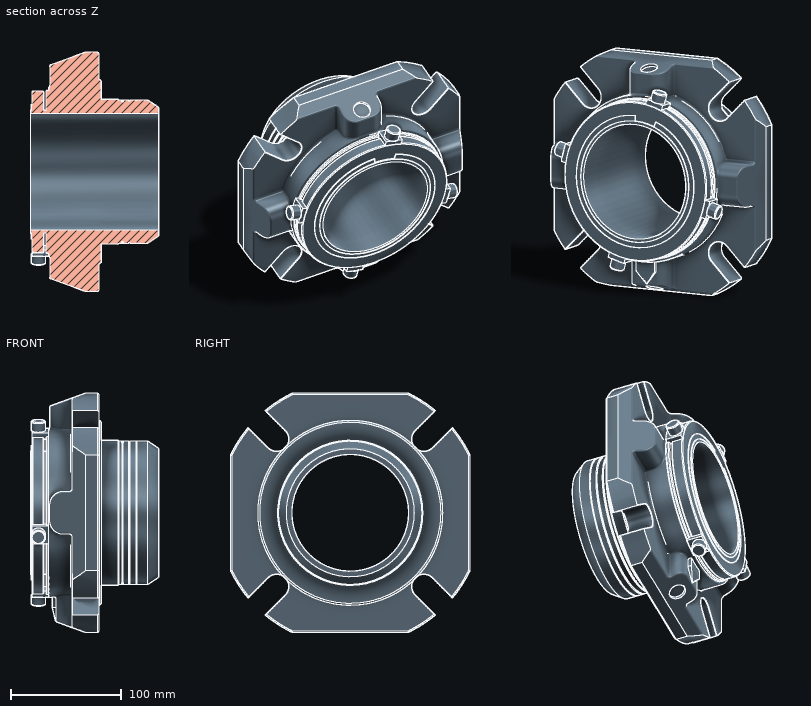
import cadquery as cq
import math

total_length = 115.9
snap_ring_front = 0.6
collar_front = 1.3
collar_back = 12.0
gland_front = 13.8
hub_front = 16.5
flange_front = 37.6
slope_end = 49.7
flange_back = 61.8
rear_disc_back = 64.0
barrel_step = 79.8
nose_start = 105.7

bore_dia = 105.0
sleeve_dia = 111.0
snap_ring_dia = 121.0
collar_dia = 146.1
gland_lip_dia = 147.6
hub_dia = 153.0
rear_disc_dia = 166.9
barrel_dia = 131.0
barrel_rear_dia = 129.7
nose_dia = 117.5

collar_chamfer = 0.9
hub_edge_radius = 0.6
hub_foot_radius = 1.7
rear_disc_chamfer = 1.7
barrel_step_chamfer = 1.0
nose_edge = 1.0

seal_groove = (82.4, 1.0, 126.5)
mark_groove = (95.3, 0.6, 128.8)
v_groove_middle = 89.0
v_groove_width = 1.3
v_groove_depth = 1.0

snap_ring_opening = 20.5

flange_side = 216.2
flange_corner_dia = 240.0
slope_angle = 20.0
flange_back_chamfer = 1.3
slope_edge_radius = 1.7
slot_width = 21.6
slot_center_radius = 93.8
slot_edge_chamfer = 0.5

boss_half_width = 19.2
boss_front = 17.3
boss_corner_radius = 12.0
marked_boss_front = 23.0
marked_boss_corner_radius = 9.3
boss_foot_radius = 2.8
boss_root = 64.8
boss_root_radius = 1.7
port_dia = 15.3
port_depth = 2.8
upper_port_x = 27.0
lower_port_x = 37.2

arrow_front = 19.5
arrow_half_width = 9.5
arrow_shoulder = 85.5
arrow_tip = 97.7
arrow_tip_front = 22.5

clip_angle = 15.0
clip_front = 1.5
clip_width = 16.9
clip_outer_dia = 154.3
screw_dia = 13.0
screw_x = 7.1
screw_head_radius = 85.8
screw_edge_chamfer = 0.9
clip_embed = 2.2
screw_embed = 0.5

slope_tangent = math.tan(math.radians(slope_angle))
quarter_turns = (0, 90, 180, 270)


def slope_height(x):
    """Distance from the axis to the sloped flange side at station x."""
    return flange_side / 2 - (slope_end - x) * slope_tangent


def turned(x_start, x_end, diameter):
    """Cylinder about the X axis."""
    return cq.Workplane("YZ", origin=(x_start, 0, 0)).circle(diameter / 2).extrude(x_end - x_start)


def about_axis(solid, angle):
    """Turn a solid about X; a positive angle moves +Z toward -Y."""
    return solid.rotate((0, 0, 0), (1, 0, 0), angle)


def revolve_profile(profile):
    return profile.close().revolve(360, (0, 0, 0), (1, 0, 0))


def front_body():
    """Sleeve, collar, gland lip and hub, carried into the flange."""
    hub_radius = hub_dia / 2
    foot_bulge = hub_foot_radius * (1 - math.sqrt(0.5))
    edge_bulge = hub_edge_radius * (1 - math.sqrt(0.5))
    profile = (
        cq.Workplane("XY")
        .moveTo(0, 0)
        .lineTo(0, sleeve_dia / 2)
        .lineTo(collar_front, sleeve_dia / 2)
        .lineTo(collar_front, collar_dia / 2 - collar_chamfer)
        .lineTo(collar_front + collar_chamfer, collar_dia / 2)
        .lineTo(collar_back - collar_chamfer, collar_dia / 2)
        .lineTo(collar_back, collar_dia / 2 - collar_chamfer)
        .lineTo(collar_back, sleeve_dia / 2)
        .lineTo(gland_front, sleeve_dia / 2)
        .lineTo(gland_front, gland_lip_dia / 2 - collar_chamfer)
        .lineTo(gland_front + collar_chamfer, gland_lip_dia / 2)
        .lineTo(hub_front, gland_lip_dia / 2)
        .lineTo(hub_front, hub_radius - hub_edge_radius)
        .threePointArc(
            (hub_front + edge_bulge, hub_radius - edge_bulge),
            (hub_front + hub_edge_radius, hub_radius),
        )
        .lineTo(flange_front - hub_foot_radius, hub_radius)
        .threePointArc(
            (flange_front - foot_bulge, hub_radius + foot_bulge),
            (flange_front, hub_radius + hub_foot_radius),
        )
        .lineTo(slope_end, hub_radius + hub_foot_radius)
        .lineTo(slope_end, 0)
    )
    return revolve_profile(profile)


def rear_body():
    """Locating disc and grooved barrel behind the flange."""
    profile = (
        cq.Workplane("XY")
        .moveTo(slope_end, 0)
        .lineTo(slope_end, barrel_dia / 2)
        .lineTo(flange_back, barrel_dia / 2)
        .lineTo(flange_back, rear_disc_dia / 2)
        .lineTo(rear_disc_back - rear_disc_chamfer, rear_disc_dia / 2)
        .lineTo(rear_disc_back, rear_disc_dia / 2 - rear_disc_chamfer)
        .lineTo(rear_disc_back, barrel_dia / 2)
        .lineTo(barrel_step - barrel_step_chamfer, barrel_dia / 2)
        .lineTo(barrel_step, barrel_rear_dia / 2)
        .lineTo(nose_start, barrel_rear_dia / 2)
        .lineTo(total_length - nose_edge, nose_dia / 2)
        .lineTo(total_length, nose_dia / 2 - nose_edge)
        .lineTo(total_length, 0)
    )
    body = revolve_profile(profile)
    for start, width, bottom_dia in (seal_groove, mark_groove):
        ring = turned(start, start + width, barrel_dia).cut(turned(start, start + width, bottom_dia))
        body = body.cut(ring)
    v_groove = (
        cq.Workplane("XY")
        .moveTo(v_groove_middle - v_groove_width / 2, barrel_rear_dia / 2)
        .lineTo(v_groove_middle, barrel_rear_dia / 2 - v_groove_depth)
        .lineTo(v_groove_middle + v_groove_width / 2, barrel_rear_dia / 2)
    )
    return body.cut(revolve_profile(v_groove))


def snap_ring():
    """Split ring lying on the front face of the collar."""
    ring = turned(snap_ring_front, collar_front, snap_ring_dia)
    end_angle = math.radians(snap_ring_opening)
    reach = snap_ring_dia
    opening = (
        cq.Workplane("YZ", origin=(snap_ring_front, 0, 0))
        .polyline([(0, 0), (0, reach), (-reach * math.sin(end_angle), reach * math.cos(end_angle))])
        .close()
        .extrude(collar_front - snap_ring_front)
    )
    return ring.cut(opening)


def slope_envelope():
    """Square block whose four sides lean inward ahead of slope_end."""
    straight = (
        cq.Workplane("YZ", origin=(slope_end, 0, 0))
        .rect(flange_side, flange_side)
        .extrude(flange_back - slope_end)
    )
    sloped = (
        cq.Workplane("YZ", origin=(slope_end, 0, 0))
        .rect(flange_side, flange_side)
        .extrude(-slope_end, taper=slope_angle)
    )
    return straight.union(sloped)


def flange_plate():
    """Round plate, later trimmed to the square envelope."""
    return turned(flange_front, flange_back, flange_corner_dia)


def boss(front, corner_radius):
    """Boss along +Z with rounded front corners and a filleted foot on the flange."""
    foot_start = flange_front - boss_foot_radius
    outer = boss_half_width + boss_foot_radius
    flat = boss_half_width - corner_radius
    corner_inset = corner_radius * (1 - math.sqrt(0.5))
    foot_inset = boss_foot_radius * (1 - math.sqrt(0.5))
    half = (
        cq.Workplane("XY", origin=(0, 0, boss_root))
        .moveTo(slope_end, 0)
        .lineTo(slope_end, outer)
        .lineTo(flange_front, outer)
        .threePointArc(
            (flange_front - foot_inset, boss_half_width + foot_inset),
            (foot_start, boss_half_width),
        )
        .lineTo(front + corner_radius, boss_half_width)
        .threePointArc(
            (front + corner_inset, boss_half_width - corner_inset),
            (front, flat),
        )
        .lineTo(front, 0)
        .close()
        .extrude(flange_side / 2 - boss_root)
    )
    return half.union(half.mirror("XZ"))


def bosses():
    """Marked boss at the bottom and plain bosses on the other three sides."""
    solid = about_axis(boss(marked_boss_front, marked_boss_corner_radius), 180)
    plain_boss = boss(boss_front, boss_corner_radius)
    for angle in (0, 90, 270):
        solid = solid.union(about_axis(plain_boss, angle))
    return solid


def bolt_slots():
    """Four open diagonal slots with a chamfer around the front edge."""
    def slot(x_start, width):
        outline = (
            cq.Workplane("YZ", origin=(x_start, 0, 0))
            .moveTo(-width / 2, flange_side)
            .lineTo(-width / 2, slot_center_radius)
            .threePointArc((0, slot_center_radius - width / 2), (width / 2, slot_center_radius))
            .lineTo(width / 2, flange_side)
            .close()
        )
        return outline

    wide = slot_width + 2 * slot_edge_chamfer
    through = slot(flange_front, slot_width).extrude(flange_back - flange_front)
    front_bevel = slot(flange_front, wide).extrude(slot_edge_chamfer, taper=45)
    cutter = through.union(front_bevel)
    slots = cq.Workplane("XY")
    for angle in quarter_turns:
        slots = slots.add(about_axis(cutter, angle + 45))
    return slots.combine()


class SlopeFrontEdges(cq.Selector):
    """Edges where the sloped sides meet the bosses and the flange face."""

    def filter(self, edges):
        return [edge for edge in edges if self.on_slope(edge)]

    def on_slope(self, edge):
        tolerance = 0.002
        ends_ahead = [end.x < flange_front + tolerance for end in (edge.startPoint(), edge.endPoint())]
        middle = edge.positionAt(0.5)
        reach = max(abs(middle.y), abs(middle.z))
        return all(ends_ahead) and abs(reach - slope_height(middle.x)) < tolerance


class BossRootEdges(cq.Selector):
    """Edges where the bosses rise from the hub."""

    def filter(self, edges):
        return [edge for edge in edges if self.on_hub(edge)]

    def on_hub(self, edge):
        tolerance = 0.002
        middle = edge.positionAt(0.5)
        off_hub = abs(math.hypot(middle.y, middle.z) - hub_dia / 2)
        ahead = middle.x < flange_front - hub_foot_radius - tolerance
        return off_hub < tolerance and ahead and middle.x > boss_front - tolerance and edge.geomType() != "LINE"


def port_recess(x):
    """Shallow round recess at station x, square to the slope above the axis."""
    outward = (-math.sin(math.radians(slope_angle)), 0, math.cos(math.radians(slope_angle)))
    mouth = cq.Plane(origin=(x, 0, slope_height(x)), xDir=(0, 1, 0), normal=outward)
    disc = cq.Workplane(mouth).circle(port_dia / 2)
    return disc.extrude(-port_depth)


def arrow():
    """Arrow pointing down the lower boss, its point sloping back into the boss."""
    side = (
        cq.Workplane("XZ", origin=(0, arrow_half_width, 0))
        .polyline([
            (arrow_front, -boss_root),
            (arrow_front, -arrow_shoulder),
            (arrow_tip_front, -arrow_tip),
            (flange_front, -arrow_tip),
            (flange_front, -boss_root),
        ])
        .close()
        .extrude(2 * arrow_half_width)
    )
    face = (
        cq.Workplane("YZ", origin=(arrow_front, 0, 0))
        .polyline([
            (-arrow_half_width, -boss_root),
            (arrow_half_width, -boss_root),
            (arrow_half_width, -arrow_shoulder),
            (0, -arrow_tip),
            (-arrow_half_width, -arrow_shoulder),
        ])
        .close()
        .extrude(flange_front - arrow_front)
    )
    return side.intersect(face)


def clip_with_screw():
    """Clip block bridging collar and hub, with its radial screw, along +Z."""
    clip_root = collar_dia / 2 - clip_embed
    block = (
        cq.Workplane("XY", origin=(clip_front, -clip_width / 2, clip_root))
        .rect(hub_front - clip_front, clip_width, centered=False)
        .extrude(clip_outer_dia - clip_root)
        .intersect(turned(clip_front, hub_front, clip_outer_dia))
    )
    screw_seat = clip_outer_dia / 2 - screw_embed
    screw = (
        cq.Workplane("XY", origin=(screw_x, 0, screw_seat))
        .circle(screw_dia / 2)
        .extrude(screw_head_radius - screw_seat)
        .faces(">Z")
        .chamfer(screw_edge_chamfer)
    )
    return block.union(screw)


casting = flange_plate().union(bosses()).intersect(slope_envelope())
casting = casting.faces(">X").edges().chamfer(flange_back_chamfer)
casting = casting.edges(SlopeFrontEdges()).fillet(slope_edge_radius)
casting = casting.union(front_body())
casting = casting.edges(BossRootEdges()).fillet(boss_root_radius)
casting = casting.union(arrow()).cut(bolt_slots())
casting = casting.cut(port_recess(upper_port_x))
casting = casting.cut(about_axis(port_recess(lower_port_x), 180))

result = casting.union(rear_body()).union(snap_ring())
for quarter in quarter_turns:
    result = result.union(about_axis(clip_with_screw(), clip_angle + quarter))
result = result.cut(turned(0, total_length, bore_dia))